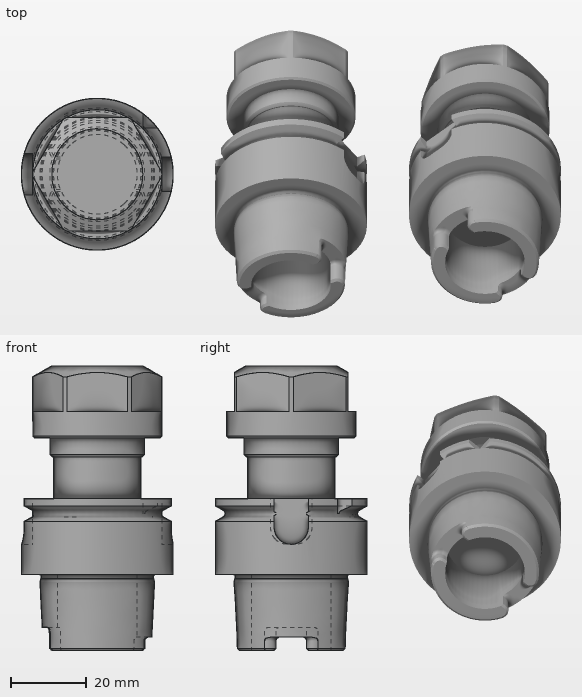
import cadquery as cq
import math


flange_radius = 40 / 2
flange_top = 20.0
groove_center_z = 16.07
groove_half_opening = 2.05
groove_half_angle = math.radians(30)
groove_root_radius = 1.0

keyway_floor_x = 17.0
keyway_bottom = 8.0
keyway_width_left = 10.9
keyway_corner_left = 4.4
keyway_width_right = 9.0
notch_x = 12.05
notch_y = 12.15
notch_bottom = groove_center_z

neck_radius = 23 / 2
collar_radius = 25 / 2
collar_bottom = 31.0
collar_chamfer = 0.7
nut_radius = 34 / 2
nut_bottom = 36.0
nut_chamfer = 0.5
hex_bottom = 43.0
hex_across_flats = 30.0
hex_sides = 6
hex_turn = 180 / hex_sides
nut_top = 54.97
nut_top_radius = 24 / 2
nut_cone_angle = math.radians(30)

shank_length = 20.0
relief_radius = 29.6 / 2
relief_fillet = 0.45
relief_end = -0.95
lead_start = -1.1
lead_radius = 14.92
taper_start = -2.05
taper_radius = 15.1
taper_slope = 1 / 20
bore_radius = 21 / 2
shank_edge_chamfer = 0.6
shank_chamfer_angle = 45
taper_end_radius = taper_radius - (shank_length + taper_start) * taper_slope

drive_slot_width = 8.0
drive_slot_top_left = -13.85
drive_slot_top_right = -16.45
drive_slot_mouth_radius = 2.0
drive_slot_mouth_inset = 0.08
drive_slot_top_fillet = 1.0

clearance = 3.0


def make_flange():
    body = cq.Workplane("XY").circle(flange_radius).extrude(flange_top)
    apex_radius = flange_radius - groove_half_opening / math.tan(groove_half_angle)
    arc_center = apex_radius + groove_root_radius / math.sin(groove_half_angle)
    tangent_radius = arc_center - groove_root_radius * math.sin(groove_half_angle)
    tangent_rise = groove_root_radius * math.cos(groove_half_angle)
    outer_radius = flange_radius + clearance
    outer_rise = (outer_radius - apex_radius) * math.tan(groove_half_angle)
    groove = (
        cq.Workplane("XZ")
        .moveTo(outer_radius, groove_center_z + outer_rise)
        .lineTo(tangent_radius, groove_center_z + tangent_rise)
        .threePointArc(
            (arc_center - groove_root_radius, groove_center_z),
            (tangent_radius, groove_center_z - tangent_rise),
        )
        .lineTo(outer_radius, groove_center_z - outer_rise)
        .close()
        .revolve(360, (0, 0, 0), (0, 1, 0))
    )
    return body.cut(groove)


def make_cornered_keyway():
    """Slot on the -X side, flat-floored, with rounded lower corners."""
    depth = flange_radius + clearance - keyway_floor_x
    height = flange_top + clearance - keyway_bottom
    return (
        cq.Workplane("XY")
        .box(depth, keyway_width_left, height, centered=(True, True, False))
        .edges("<Z and |X")
        .fillet(keyway_corner_left)
        .translate((-keyway_floor_x - depth / 2, 0, keyway_bottom))
    )


def make_round_keyway():
    """Slot on the +X side, flat-floored, with a full round lower end."""
    half_width = keyway_width_right / 2
    top = flange_top + clearance
    round_center_z = keyway_bottom + half_width
    return (
        cq.Workplane("YZ", origin=(keyway_floor_x, 0, 0))
        .moveTo(half_width, top)
        .lineTo(half_width, round_center_z)
        .threePointArc((0, keyway_bottom), (-half_width, round_center_z))
        .lineTo(-half_width, top)
        .close()
        .extrude(flange_radius + clearance - keyway_floor_x)
    )


def make_index_notch():
    return (
        cq.Workplane("XY", origin=(notch_x, notch_y, notch_bottom))
        .rect(flange_radius, flange_radius, centered=False)
        .extrude(flange_top + clearance - notch_bottom)
    )


def make_neck():
    return (
        cq.Workplane("XY", origin=(0, 0, flange_top))
        .circle(neck_radius)
        .extrude(collar_bottom - flange_top)
    )


def make_nut():
    cone_bottom = nut_top - (nut_radius - nut_top_radius) * math.tan(nut_cone_angle)
    turned = (
        cq.Workplane("XZ")
        .moveTo(0, collar_bottom)
        .lineTo(collar_radius - collar_chamfer, collar_bottom)
        .lineTo(collar_radius, collar_bottom + collar_chamfer)
        .lineTo(collar_radius, nut_bottom)
        .lineTo(nut_radius - nut_chamfer, nut_bottom)
        .lineTo(nut_radius, nut_bottom + nut_chamfer)
        .lineTo(nut_radius, cone_bottom)
        .lineTo(nut_top_radius, nut_top)
        .lineTo(0, nut_top)
        .close()
        .revolve(360, (0, 0, 0), (0, 1, 0))
    )
    outside_hex = (
        cq.Workplane("XY", origin=(0, 0, hex_bottom))
        .transformed(rotate=(0, 0, hex_turn))
        .circle(nut_radius + clearance)
        .polygon(hex_sides, hex_across_flats, circumscribed=True)
        .extrude(nut_top + clearance - hex_bottom)
    )
    return turned.cut(outside_hex)


def make_drive_slot(side, top_z):
    """Slot through the shank wall, rounded at its mouth; side is -1 for -X and +1 for +X."""
    half_width = drive_slot_width / 2
    mouth_y = half_width + drive_slot_mouth_radius
    center_distance = taper_end_radius - drive_slot_mouth_inset - drive_slot_mouth_radius
    mouth_x = math.sqrt(center_distance**2 - mouth_y**2)
    exit_angle = math.atan2(mouth_y, mouth_x)
    middle_angle = (exit_angle - math.pi / 2) / 2

    def on_mouth(angle, sign):
        x = mouth_x + drive_slot_mouth_radius * math.cos(angle)
        y = mouth_y + drive_slot_mouth_radius * math.sin(angle)
        return (x, sign * y)

    outer_y = on_mouth(exit_angle, 1)[1]
    inner_x = bore_radius / 2
    outline = (
        cq.Workplane("XY")
        .moveTo(inner_x, half_width)
        .lineTo(mouth_x, half_width)
        .threePointArc(on_mouth(middle_angle, 1), on_mouth(exit_angle, 1))
        .lineTo(flange_radius, outer_y)
        .lineTo(flange_radius, -outer_y)
        .lineTo(*on_mouth(exit_angle, -1))
        .threePointArc(on_mouth(middle_angle, -1), (mouth_x, -half_width))
        .lineTo(inner_x, -half_width)
        .close()
        .wire()
        .val()
    )
    slot_height = top_z + shank_length
    slot = (
        cq.Workplane("XY")
        .add(outline)
        .toPending()
        .extrude(slot_height)
        .faces(">Z")
        .edges()
        .fillet(drive_slot_top_fillet)
    )
    flare = (
        cq.Workplane("XY")
        .add(outline)
        .toPending()
        .extrude(-shank_edge_chamfer, taper=-shank_chamfer_angle)
        .translate((0, 0, shank_edge_chamfer))
    )
    slot = slot.union(flare).translate((0, 0, -shank_length))
    if side < 0:
        slot = slot.mirror("YZ")
    return slot


def make_shank():
    fillet_outer = relief_radius + relief_fillet
    fillet_middle = fillet_outer - relief_fillet * math.cos(math.pi / 4)
    fillet_middle_z = -relief_fillet * (1 - math.sin(math.pi / 4))
    chamfer_top = shank_edge_chamfer - shank_length
    chamfer_radius = taper_end_radius + shank_edge_chamfer * taper_slope
    shank = (
        cq.Workplane("XZ")
        .moveTo(bore_radius, 0)
        .lineTo(fillet_outer, 0)
        .threePointArc((fillet_middle, fillet_middle_z), (relief_radius, -relief_fillet))
        .lineTo(relief_radius, relief_end)
        .lineTo(lead_radius, lead_start)
        .lineTo(taper_radius, taper_start)
        .lineTo(chamfer_radius, chamfer_top)
        .lineTo(chamfer_radius - shank_edge_chamfer, -shank_length)
        .lineTo(bore_radius, -shank_length)
        .close()
        .revolve(360, (0, 0, 0), (0, 1, 0))
    )
    shank = shank.cut(make_drive_slot(-1, drive_slot_top_left))
    shank = shank.cut(make_drive_slot(1, drive_slot_top_right))
    return shank


flange = make_flange()
flange = flange.cut(make_cornered_keyway())
flange = flange.cut(make_round_keyway())
flange = flange.cut(make_index_notch())

result = flange.union(make_neck()).union(make_nut()).union(make_shank())